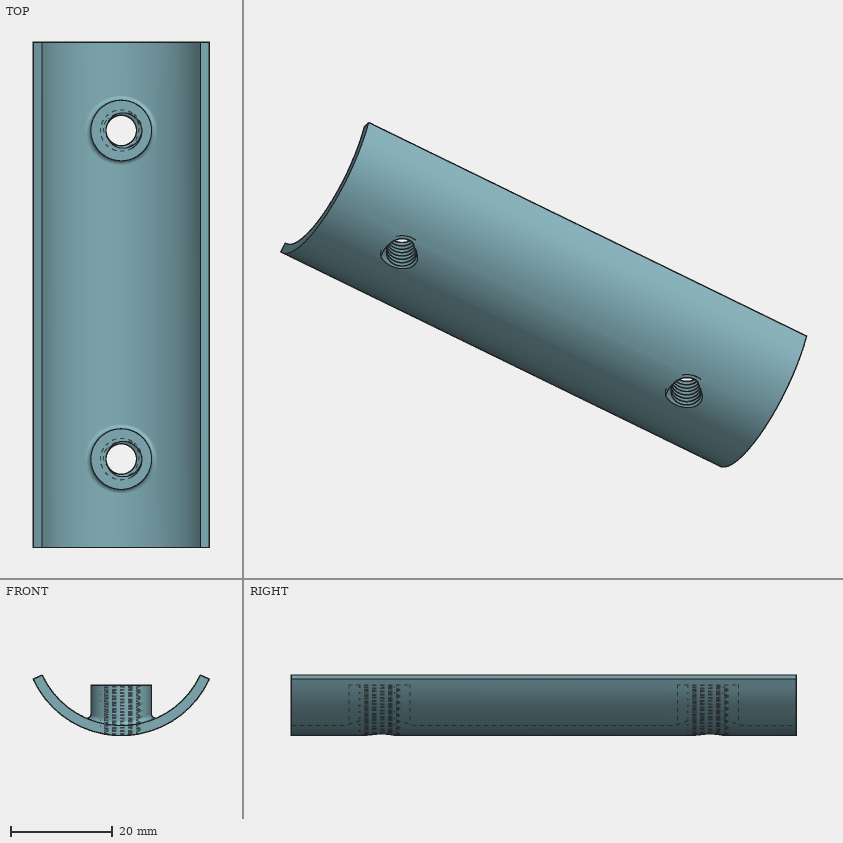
import cadquery as cq
import math

length = 100.0
width = 34.9
outer_radius = 19.2
thickness = 2.0
inner_radius = outer_radius - thickness
half_angle = math.asin(width / 2 / outer_radius)

boss_diameter = 12.0
boss_top = 10.0
boss_offset = 32.5
boss_fillet = 0.8

bore_radius = 3.0
bore_overrun = 1.0
thread_turns = 8
thread_pitch = boss_top / thread_turns
thread_depth = 1.1
groove_width = 1.2
thread_overlap = 0.1
turns_below_top = thread_turns + 1
turns_above_top = 1


def arc_point(radius, angle):
    """Point in XZ at an angle from straight down, on an arc about the trough axis."""
    return radius * math.sin(angle), outer_radius - radius * math.cos(angle)


def make_trough():
    """Circular-arc channel with radial edge faces."""
    return (
        cq.Workplane("XZ")
        .moveTo(*arc_point(outer_radius, -half_angle))
        .threePointArc(arc_point(outer_radius, 0), arc_point(outer_radius, half_angle))
        .lineTo(*arc_point(inner_radius, half_angle))
        .threePointArc(arc_point(inner_radius, 0), arc_point(inner_radius, -half_angle))
        .close()
        .extrude(length / 2, both=True)
    )


def make_boss(y):
    """Solid post rooted inside the trough wall."""
    root = thickness / 2
    return (
        cq.Workplane("XY", origin=(0, y, root))
        .circle(boss_diameter / 2)
        .extrude(boss_top - root)
    )


def make_bore(y):
    """Plain through bore at the thread's minor diameter."""
    return (
        cq.Workplane("XY", origin=(0, y, -bore_overrun))
        .circle(bore_radius)
        .extrude(boss_top + 2 * bore_overrun)
    )


def make_thread_groove(y):
    """V-shaped helical groove whose centre meets the boss top on the +X side."""
    start = boss_top - turns_below_top * thread_pitch
    height = (turns_below_top + turns_above_top) * thread_pitch
    helix = cq.Wire.makeHelix(thread_pitch, height, bore_radius, center=cq.Vector(0, y, start))
    inside = bore_radius - thread_overlap
    profile = (
        cq.Workplane("XZ", origin=(0, y, start))
        .moveTo(inside, -groove_width / 2)
        .lineTo(bore_radius + thread_depth, 0)
        .lineTo(inside, groove_width / 2)
        .close()
    )
    return profile.sweep(cq.Workplane(helix), isFrenet=True)


boss_positions = (-boss_offset, boss_offset)
result = make_trough()
for y in boss_positions:
    result = result.union(make_boss(y))

corner = boss_diameter / 2 + boss_fillet
for y in boss_positions:
    base_region = cq.selectors.BoxSelector(
        (-corner, y - corner, 0), (corner, y + corner, boss_top - boss_fillet)
    )
    result = result.edges(base_region).edges("not %LINE").fillet(boss_fillet)

for y in boss_positions:
    result = result.cut(make_thread_groove(y)).cut(make_bore(y))